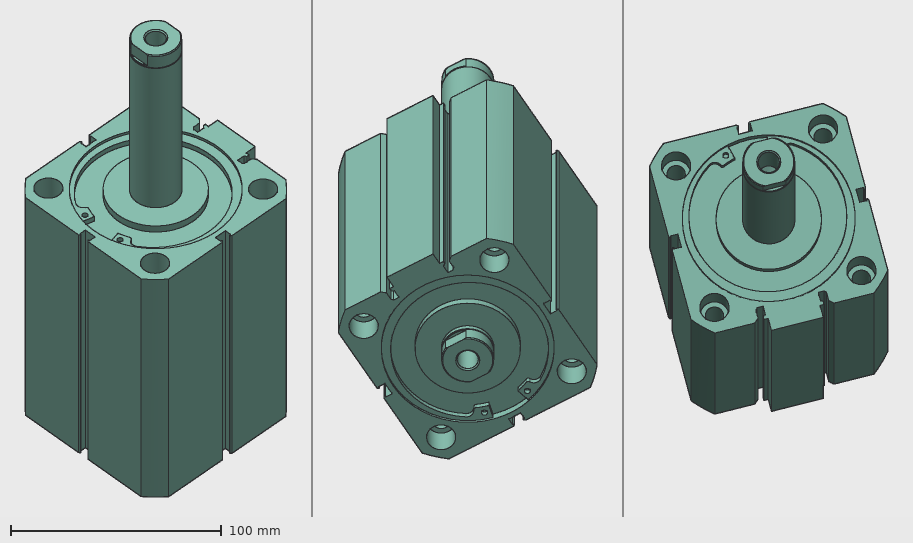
import cadquery as cq
import math


body_width = 96.5
body_half = body_width / 2
body_length = 143.5
body_mid = body_length / 2
corner_flat_half = 39.0
corner_radius = math.hypot(body_half, corner_flat_half)

rail_half_width = 12.7
overall_depth = 102.0
rail_top = overall_depth - body_half

slot_width = 6.6
slot_throat = 5.0
slot_depth = 4.6
slot_mouth_depth = 0.5
slot_lip = 1.0

bolt_spacing = 72.0
bolt_diameter = 8.7
bolt_counterbore = 13.8
bolt_counterbore_depth = 15.0

pocket_diameter = 82.0
ring_recess = 1.5
ring_thickness = 3.0
cover_thickness = 12.0
pocket_depth = ring_recess + ring_thickness + cover_thickness
boss_diameter = 50.0
boss_height = 4.0

ring_inner_radius = 37.45
ring_offset = 1.7
ear_inner_radius = 34.0
ear_start_angle = 13.6
ear_end_angle = 26.0
ear_root_fillet = 3.5
ear_tip_fillet = 1.2
ear_hole_radius = 37.4
ear_hole_angle = 18.4
ear_hole_diameter = 2.8

rod_diameter = 25.0
rod_top_reach = 99.5
rod_bottom_reach = 10.5
rod_mid = (body_length + rod_top_reach - rod_bottom_reach) / 2
neck_diameter = 24.7
neck_length = 8.0
neck_taper = 0.3
tip_chamfer = 0.5
flat_length = 7.2
flat_across = 22.0
thread_diameter = 10.0
thread_depth = 25.0
thread_chamfer = 0.7
drill_point_angle = 118.0


def flip(workplane, middle):
    """Mirror a shape to the other end, about the horizontal plane z = middle."""
    return workplane.mirror("XY", (0, 0, middle))


def prism(points):
    """Extrude a closed outline over the whole housing length."""
    return cq.Workplane("XY").polyline(points).close().extrude(body_length)


def sensor_slot():
    """Cutter for an undercut slot with a flared mouth, on the -Y side."""
    right = [
        (slot_width / 2, -body_half),
        (slot_throat / 2, -body_half + slot_mouth_depth),
        (slot_throat / 2, -body_half + slot_lip),
        (slot_width / 2, -body_half + slot_lip),
        (slot_width / 2, -body_half + slot_depth),
    ]
    left = [(-x, y) for x, y in reversed(right)]
    return prism(right + left)


def rail_slot():
    """Cutter for the hooked slot beside the rail, on the +X side of it."""
    lip_x = 14.8
    lip_top = body_half - 0.6
    lip_bottom = body_half - 2.0
    inner_x = 13.5
    undercut_y = body_half - 2.9
    outer_x = 17.3
    floor_y = body_half - 7.0
    floor_bevel = 0.9
    mouth_x = 19.4
    mouth_y = body_half - 1.9
    return prism([
        (rail_half_width, body_half),
        (rail_half_width, lip_top),
        (lip_x, lip_top),
        (lip_x, lip_bottom),
        (inner_x, undercut_y),
        (inner_x, floor_y),
        (outer_x - floor_bevel, floor_y),
        (outer_x, floor_y + floor_bevel),
        (outer_x, mouth_y),
        (mouth_x, body_half),
    ])


def make_housing():
    square = cq.Workplane("XY").rect(body_width, body_width).extrude(body_length)
    body = square.intersect(cq.Workplane("XY").circle(corner_radius).extrude(body_length))

    rail = (
        cq.Workplane("XY")
        .center(0, rail_top / 2)
        .rect(2 * rail_half_width, rail_top)
        .extrude(body_length)
    )
    body = body.union(rail)

    slot = sensor_slot()
    for angle in (-90, 0, 90):
        body = body.cut(slot.rotate((0, 0, 0), (0, 0, 1), angle))
    body = body.cut(rail_slot()).cut(rail_slot().mirror("YZ"))

    for face in (">Z", "<Z"):
        body = (
            body.faces(face)
            .workplane(origin=(0, 0, 0))
            .rect(bolt_spacing, bolt_spacing, forConstruction=True)
            .vertices()
            .cboreHole(bolt_diameter, bolt_counterbore, bolt_counterbore_depth)
        )

    pocket = cq.Workplane("XY").circle(pocket_diameter / 2).extrude(pocket_depth)
    rod_bore = cq.Workplane("XY").circle(rod_diameter / 2).extrude(body_length)
    return body.cut(pocket).cut(flip(pocket, body_mid)).cut(rod_bore)


def make_cover():
    """Upper end cover: a disc with a central boss, bored for the rod."""
    return (
        cq.Workplane("XY", origin=(0, 0, body_length - pocket_depth))
        .circle(pocket_diameter / 2)
        .extrude(cover_thickness)
        .faces(">Z")
        .workplane()
        .circle(boss_diameter / 2)
        .extrude(boss_height)
        .faces(">Z")
        .workplane()
        .hole(rod_diameter)
    )


def polar(radius, angle):
    """Point at a radius and an angle measured from -Y towards +X."""
    turn = math.radians(angle)
    return radius * math.sin(turn), -radius * math.cos(turn)


def make_ear():
    """Plier ear of the ring, on the +X side of the gap, standing on z = 0."""
    outer_radius = pocket_diameter / 2
    middle_angle = (ear_start_angle + ear_end_angle) / 2
    return (
        cq.Workplane("XY")
        .moveTo(*polar(ear_inner_radius, ear_start_angle))
        .threePointArc(polar(ear_inner_radius, middle_angle), polar(ear_inner_radius, ear_end_angle))
        .lineTo(*polar(outer_radius, ear_end_angle))
        .threePointArc(polar(outer_radius, middle_angle), polar(outer_radius, ear_start_angle))
        .close()
        .extrude(ring_thickness)
    )


def fillet_edge_near(solid, radius, angle, size):
    """Fillet the upright edge closest to a point in plan."""
    x, y = polar(radius, angle)
    nearest = cq.selectors.NearestToPointSelector((x, y, ring_thickness / 2))
    return solid.edges("|Z").edges(nearest).fillet(size)


def make_ring():
    """Upper retaining ring: tapered band, open at -Y, with an eyed ear at each end."""
    band = cq.Workplane("XY").circle(pocket_diameter / 2).extrude(ring_thickness)
    band = band.cut(
        cq.Workplane("XY").center(0, -ring_offset).circle(ring_inner_radius).extrude(ring_thickness)
    )
    gap = (
        cq.Workplane("XY")
        .polyline([
            (0, 0),
            polar(pocket_diameter, ear_start_angle),
            polar(pocket_diameter, -ear_start_angle),
        ])
        .close()
        .extrude(ring_thickness)
    )
    ear = make_ear()
    ring = band.cut(gap).union(ear).union(ear.mirror("YZ"))

    root_radius = ring_inner_radius + ring_offset * math.cos(math.radians(ear_end_angle))
    for side in (1, -1):
        ring = fillet_edge_near(ring, root_radius, side * ear_end_angle, ear_root_fillet)
        ring = fillet_edge_near(ring, ear_inner_radius, side * ear_end_angle, ear_tip_fillet)

    eyes = [polar(ear_hole_radius, side * ear_hole_angle) for side in (1, -1)]
    eye_cutter = (
        cq.Workplane("XY").pushPoints(eyes).circle(ear_hole_diameter / 2).extrude(ring_thickness)
    )
    base = body_length - ring_recess - ring_thickness
    return ring.cut(eye_cutter).translate((0, 0, base))


def rod_end_cutter(top):
    """Material removed from the upper rod end: wrench flats and a drilled, chamfered hole."""
    side_offset = (flat_across + rod_diameter) / 2
    flats = (
        cq.Workplane("XY", origin=(0, 0, top - flat_length))
        .pushPoints([(0, side_offset), (0, -side_offset)])
        .rect(rod_diameter, rod_diameter)
        .extrude(flat_length)
    )
    radius = thread_diameter / 2
    point_depth = radius / math.tan(math.radians(drill_point_angle / 2))
    bore = (
        cq.Workplane("XZ")
        .polyline([
            (0, top),
            (radius + thread_chamfer, top),
            (radius, top - thread_chamfer),
            (radius, top - thread_depth),
            (0, top - thread_depth - point_depth),
        ])
        .close()
        .revolve(360, (0, 0, 0), (0, 1, 0))
    )
    return flats.union(bore)


def make_rod():
    """Through rod with a slightly reduced, flatted neck and a threaded hole at each end."""
    top = body_length + rod_top_reach
    shoulder = top - neck_length
    rod_radius = rod_diameter / 2
    neck_radius = neck_diameter / 2
    upper_half = (
        cq.Workplane("XZ")
        .polyline([
            (0, rod_mid),
            (rod_radius, rod_mid),
            (rod_radius, shoulder - neck_taper),
            (neck_radius, shoulder),
            (neck_radius, top - tip_chamfer),
            (neck_radius - tip_chamfer, top),
            (0, top),
        ])
        .close()
        .revolve(360, (0, 0, 0), (0, 1, 0))
    )
    upper_half = upper_half.cut(rod_end_cutter(top))
    return upper_half.union(flip(upper_half, rod_mid))


housing = make_housing()
upper_cover = make_cover()
upper_ring = make_ring()
rod = make_rod()

bodies = [housing.solids().val(), rod.solids().val()]
for end_part in (upper_cover, upper_ring):
    bodies.append(end_part.solids().val())
    bodies.append(flip(end_part, body_mid).solids().val())

result = cq.Compound.makeCompound(bodies)